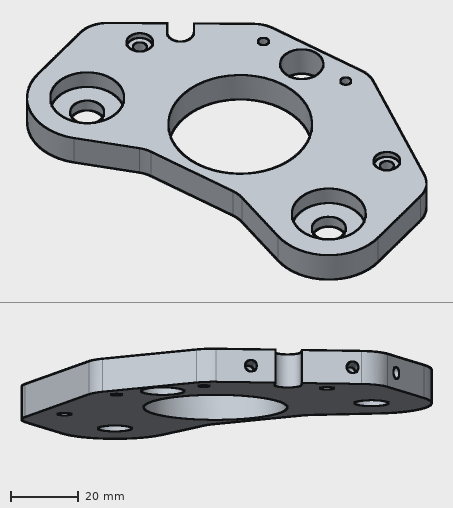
import cadquery as cq
import math

thickness = 10.0
half_width = 62.0
top_y = 39.9
waist_y = -25.0
slant_angle = 34.5
shoulder_y = 10.5
waist_half_length = 16.9
corner_radius = 10.0
lobe_radius = 18.0
lobe_x = half_width - lobe_radius
lobe_y = -16.7

bore_radius = 21.5
lobe_hole_radius = 5.1
lobe_counterbore_radius = 11.0
lobe_counterbore_depth = 6.0
screw_x = 45.0
screw_y = 12.0
screw_hole_radius = 2.1
screw_counterbore_radius = 4.0
screw_counterbore_depth = 2.0
window_y = 32.0
window_radius = 6.5
pin_x = 15.0
pin_y = 33.5
pin_radius = 1.6

notch_radius = 4.0
notch_edge_y = 25.8
notch_depth_to_center = 4.0

side_hole_radius = 1.7
side_hole_depth = 9.9
drill_tip_angle = 118.0
slant_hole_ys = (32.2, 15.0)
side_hole_y = 0.0

slant_tangent = math.tan(math.radians(slant_angle))
slant_top_x = half_width - (top_y - shoulder_y) / slant_tangent


def slant_point(y):
    """Point at height y on the left sloped edge."""
    return (-half_width + (y - shoulder_y) / slant_tangent, y)


def lobe_point(angle):
    """Point on the right lobe at an angle in degrees from +X."""
    turn = math.radians(angle)
    return (lobe_x + lobe_radius * math.cos(turn), lobe_y + lobe_radius * math.sin(turn))


def mirrored(point):
    return (-point[0], point[1])


def make_plate():
    to_lobe_x = lobe_x - waist_half_length
    to_lobe_y = lobe_y - waist_y
    tangent_angle = math.degrees(
        math.atan2(to_lobe_y, to_lobe_x)
        - math.asin(lobe_radius / math.hypot(to_lobe_x, to_lobe_y))
    ) - 90
    lobe_end = lobe_point(tangent_angle)
    lobe_middle = lobe_point(tangent_angle / 2)
    lobe_start = (half_width, lobe_y)
    plate = (
        cq.Workplane("XY")
        .moveTo(-slant_top_x, top_y)
        .lineTo(slant_top_x, top_y)
        .lineTo(half_width, shoulder_y)
        .lineTo(*lobe_start)
        .threePointArc(lobe_middle, lobe_end)
        .lineTo(waist_half_length, waist_y)
        .lineTo(-waist_half_length, waist_y)
        .lineTo(*mirrored(lobe_end))
        .threePointArc(mirrored(lobe_middle), mirrored(lobe_start))
        .lineTo(-half_width, shoulder_y)
        .close()
        .extrude(thickness)
    )
    corners = [
        (side * x, y)
        for side in (-1, 1)
        for x, y in ((slant_top_x, top_y), (half_width, shoulder_y), (waist_half_length, waist_y))
    ]
    for x, y in corners:
        corner_edge = cq.selectors.NearestToPointSelector((x, y, thickness / 2))
        plate = plate.edges("|Z").edges(corner_edge).fillet(corner_radius)
    return plate


def vertical_cut(points, radius, depth=thickness):
    """Cylinders reaching down from the top face."""
    return (
        cq.Workplane("XY", origin=(0, 0, thickness - depth))
        .pushPoints(points)
        .circle(radius)
        .extrude(depth)
    )


def pair(x, y):
    return [(-x, y), (x, y)]


def make_notch():
    """Slot centred on the sloped edge, so only its inner half cuts the plate."""
    edge_x, edge_y = slant_point(notch_edge_y)
    return (
        cq.Workplane("XY")
        .slot2D(2 * (notch_depth_to_center + notch_radius), 2 * notch_radius)
        .extrude(thickness)
        .rotate((0, 0, 0), (0, 0, 1), slant_angle - 90)
        .translate((edge_x, edge_y, 0))
    )


def side_hole(entry, angle):
    """Drilled hole with a conical end, running inward at an angle from +X."""
    tip_length = side_hole_radius / math.tan(math.radians(drill_tip_angle / 2))
    drill = (
        cq.Workplane("XY")
        .lineTo(0, side_hole_radius)
        .lineTo(side_hole_depth, side_hole_radius)
        .lineTo(side_hole_depth + tip_length, 0)
        .close()
        .revolve(360, (0, 0, 0), (1, 0, 0))
    )
    return drill.rotate((0, 0, 0), (0, 0, 1), angle).translate((*entry, thickness / 2))


result = (
    make_plate()
    .cut(vertical_cut([(0, 0)], bore_radius))
    .cut(vertical_cut([(0, window_y)], window_radius))
    .cut(vertical_cut(pair(pin_x, pin_y), pin_radius))
    .cut(vertical_cut(pair(lobe_x, lobe_y), lobe_hole_radius))
    .cut(vertical_cut(pair(lobe_x, lobe_y), lobe_counterbore_radius, lobe_counterbore_depth))
    .cut(vertical_cut(pair(screw_x, screw_y), screw_hole_radius))
    .cut(vertical_cut(pair(screw_x, screw_y), screw_counterbore_radius, screw_counterbore_depth))
    .cut(make_notch())
    .cut(side_hole((-half_width, side_hole_y), 0))
)
for hole_y in slant_hole_ys:
    result = result.cut(side_hole(slant_point(hole_y), slant_angle - 90))